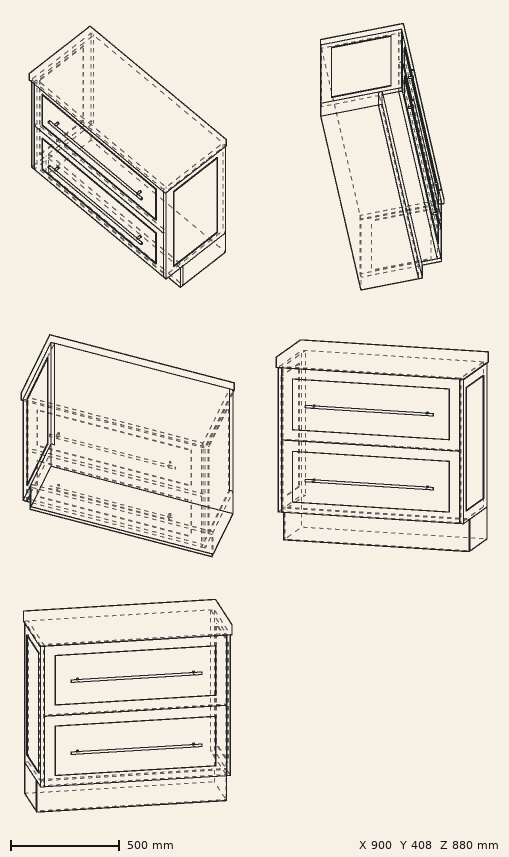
import cadquery as cq


total_height = 880.0
worktop_width = 900.0
worktop_depth = 390.0
worktop_thickness = 49.5
worktop_edge_radius = 0.7

cabinet_width = 888.0
cabinet_depth = 380.0
plinth_height = 150.0
plinth_depth = 289.0
board_thickness = 17.0
gap = 1.0

frame_width = 50.0
recess_depth = 4.0

total_depth = 408.0
bar_length = 612.0
bar_diameter = 12.0
post_spacing = 544.0
post_diameter = 10.0
upper_handle_z = 659.0
lower_handle_z = 311.0

worktop_bottom = total_height - worktop_thickness
cabinet_top = worktop_bottom - gap
cabinet_height = cabinet_top - plinth_height
inner_width = cabinet_width - 2 * board_thickness
drawer_width = inner_width - 2 * gap
drawer_height = (cabinet_height - gap) / 2
drawer_pitch = drawer_height + gap
drawer_back_y = board_thickness - cabinet_depth
drawer_face_y = recess_depth - cabinet_depth
bar_y = bar_diameter / 2 - total_depth


def block(width, depth, height, center_x, front_y, bottom_z):
    """Box centred on center_x, reaching back from front_y and up from bottom_z."""
    corner = (center_x - width / 2, front_y, bottom_z)
    return cq.Workplane("XY").box(width, depth, height, centered=False).translate(corner)


def make_worktop():
    """Slab with slightly rounded edges."""
    slab = block(worktop_width, worktop_depth, worktop_thickness, 0, -worktop_depth, worktop_bottom)
    return slab.edges().fillet(worktop_edge_radius)


def make_carcass():
    """Plinth base of full width, and the box that fills the space inside the panels and drawers."""
    base_depth = plinth_depth - board_thickness - gap
    base = block(cabinet_width, base_depth, plinth_height, 0, -base_depth, 0)
    box_height = worktop_bottom - plinth_height
    box = block(inner_width, -drawer_back_y, box_height, 0, drawer_back_y, plinth_height)
    return base.union(box)


def make_kickboard():
    """Upright board across the front of the plinth base."""
    return block(cabinet_width, board_thickness, plinth_height, 0, -plinth_depth, 0)


def make_side_panel(side):
    """Upright board with a framed recess on its outer face; side is -1 (left) or +1 (right)."""
    center_x = side * (cabinet_width - board_thickness) / 2
    panel = block(board_thickness, cabinet_depth, cabinet_height, center_x, -cabinet_depth, plinth_height)
    recess = block(
        recess_depth,
        cabinet_depth - 2 * frame_width,
        cabinet_height - 2 * frame_width,
        side * (cabinet_width - recess_depth) / 2,
        frame_width - cabinet_depth,
        plinth_height + frame_width,
    )
    return panel.cut(recess)


def make_drawer_front(bottom_z):
    """Board with a framed recess on its front face."""
    board = block(drawer_width, board_thickness, drawer_height, 0, -cabinet_depth, bottom_z)
    recess = block(
        drawer_width - 2 * frame_width,
        recess_depth,
        drawer_height - 2 * frame_width,
        0,
        -cabinet_depth,
        bottom_z + frame_width,
    )
    return board.cut(recess)


def make_handle(center_z):
    """Round bar on two round posts that stand on the recessed face of a drawer."""
    bar = (
        cq.Workplane("YZ", origin=(-bar_length / 2, bar_y, center_z))
        .circle(bar_diameter / 2)
        .extrude(bar_length)
    )
    posts = (
        cq.Workplane("XZ", origin=(0, drawer_face_y, center_z))
        .pushPoints([(-post_spacing / 2, 0), (post_spacing / 2, 0)])
        .circle(post_diameter / 2)
        .extrude(drawer_face_y - bar_y)
    )
    return bar.union(posts)


worktop = make_worktop()
carcass = make_carcass()
kickboard = make_kickboard()
side_panels = [make_side_panel(side) for side in (-1, 1)]
drawer_fronts = [make_drawer_front(plinth_height + row * drawer_pitch) for row in range(2)]
handles = [make_handle(center_z) for center_z in (lower_handle_z, upper_handle_z)]

bodies = [worktop, carcass, kickboard, *side_panels, *drawer_fronts, *handles]
result = cq.Compound.makeCompound([body.val() for body in bodies])